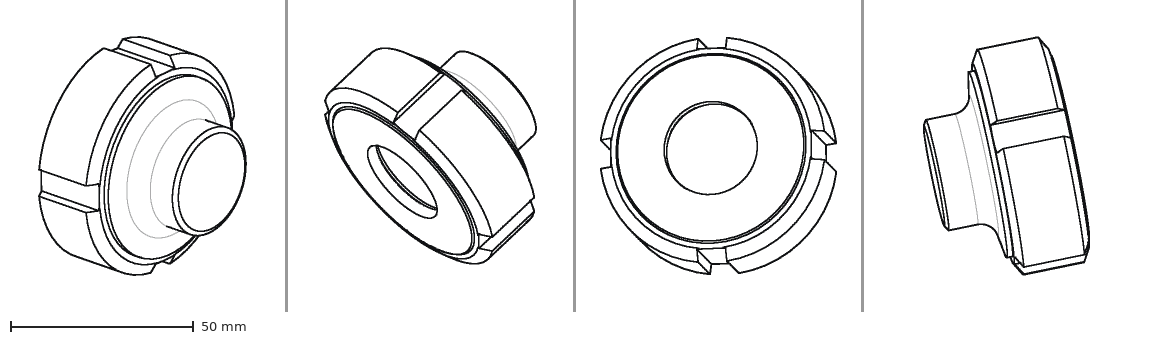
import cadquery as cq
import math

total_length = 38.0

nut_radius = 31.5
nut_face_radius = 28.0
nut_chamfer_angle = math.radians(30)
nut_chamfer_length = (nut_radius - nut_face_radius) * math.tan(nut_chamfer_angle)
nut_front = 0.5
nut_length = 21.0
nut_back = nut_front + nut_length

slot_count = 4
slot_width = 8.0
slot_floor_radius = nut_face_radius

body_radius = 26.0
front_bevel = 0.5
flange_back = 23.0

stub_radius = 15.5
neck_blend_radius = 5.0
cone_angle = math.radians(10)
stub_bevel_depth = 1.5
stub_bevel_angle = math.radians(30)
stub_bevel_length = stub_bevel_depth * math.tan(stub_bevel_angle)

recess_radius = 13.0
recess_depth = 4.5
undercut_radius = 13.5
undercut_length = 1.0


def revolve_about_x(profile):
    """Turn a closed (x, radius) profile about the X axis."""
    return profile.close().revolve(360, (0, 0, 0), (1, 0, 0))


def make_body():
    arc_center_r = stub_radius + neck_blend_radius
    cone_end_r = arc_center_r - neck_blend_radius * math.sin(cone_angle)
    cone_end_x = flange_back + (body_radius - cone_end_r) * math.tan(cone_angle)
    arc_center_x = cone_end_x + neck_blend_radius * math.cos(cone_angle)

    mid_angle = (cone_angle + math.pi / 2) / 2
    arc_mid = (
        arc_center_x - neck_blend_radius * math.cos(mid_angle),
        arc_center_r - neck_blend_radius * math.sin(mid_angle),
    )

    profile = (
        cq.Workplane("XY")
        .lineTo(0, body_radius)
        .lineTo(nut_front, body_radius + front_bevel)
        .lineTo(nut_front, body_radius)
        .lineTo(flange_back, body_radius)
        .lineTo(cone_end_x, cone_end_r)
        .threePointArc(arc_mid, (arc_center_x, stub_radius))
        .lineTo(total_length - stub_bevel_length, stub_radius)
        .lineTo(total_length, stub_radius - stub_bevel_depth)
        .lineTo(total_length, 0)
    )
    return revolve_about_x(profile)


def make_nut():
    profile = (
        cq.Workplane("XY")
        .moveTo(nut_front, 0)
        .lineTo(nut_front, nut_face_radius)
        .lineTo(nut_front + nut_chamfer_length, nut_radius)
        .lineTo(nut_back - nut_chamfer_length, nut_radius)
        .lineTo(nut_back, nut_face_radius)
        .lineTo(nut_back, 0)
    )
    nut = revolve_about_x(profile)

    slot_height = nut_radius - slot_floor_radius
    slot_cutter = (
        cq.Workplane("XY", origin=(nut_front, 0, slot_floor_radius))
        .box(nut_length, slot_width, slot_height, centered=(False, True, False))
    )
    for index in range(slot_count):
        nut = nut.cut(slot_cutter.rotate((0, 0, 0), (1, 0, 0), index * 360 / slot_count))
    return nut


def make_recess():
    undercut_start = recess_depth - undercut_length
    profile = (
        cq.Workplane("XY")
        .lineTo(0, recess_radius)
        .lineTo(undercut_start, recess_radius)
        .lineTo(undercut_start, undercut_radius)
        .lineTo(recess_depth, undercut_radius)
        .lineTo(recess_depth, 0)
    )
    return revolve_about_x(profile)


result = make_body().union(make_nut()).cut(make_recess())